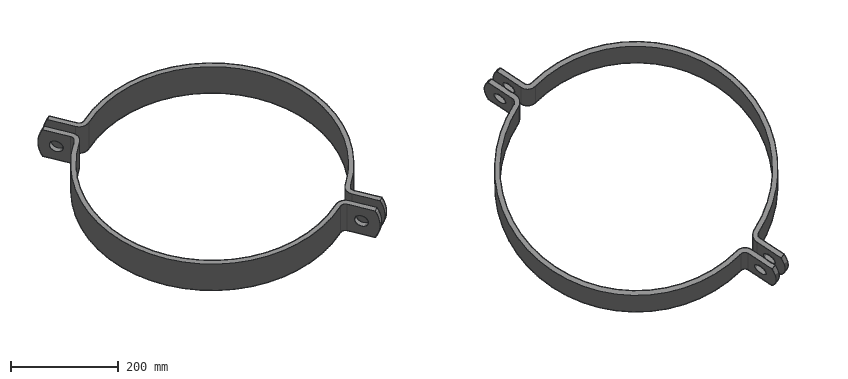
import cadquery as cq
import math

overall_length = 672.0
ring_outer_diameter = 526.0
strap_width = 70.0
strap_thickness = 10.0
ear_gap = 18.0
bend_inner_radius = 10.0
ear_tip_radius = 70.0
bolt_hole_diameter = 27.0
bolt_hole_spacing = 599.5

ear_tip_x = overall_length / 2
ring_outer_radius = ring_outer_diameter / 2
ring_inner_radius = ring_outer_radius - strap_thickness
ear_inner_y = ear_gap / 2
ear_outer_y = ear_inner_y + strap_thickness
bend_outer_radius = bend_inner_radius + strap_thickness

bend_center_y = ear_outer_y + bend_inner_radius
bend_center_distance = ring_outer_radius + bend_inner_radius
bend_center_x = math.sqrt(bend_center_distance**2 - bend_center_y**2)
ring_end_angle = math.atan2(bend_center_y, bend_center_x)
bend_middle_angle = (ring_end_angle - math.pi / 2) / 2


def ring_point(radius, side):
    """Point where the ring meets the bend; side is +1 or -1 along X."""
    return (side * radius * math.cos(ring_end_angle), radius * math.sin(ring_end_angle))


def bend_middle(radius, side):
    """Point halfway around a bend; side is +1 or -1 along X."""
    return (
        side * (bend_center_x - radius * math.cos(bend_middle_angle)),
        bend_center_y + radius * math.sin(bend_middle_angle),
    )


def make_strap():
    """Half ring on the +Y side with a bent ear at each end."""
    return (
        cq.Workplane("XY")
        .workplane(offset=-strap_width / 2)
        .moveTo(-ear_tip_x, ear_outer_y)
        .lineTo(-bend_center_x, ear_outer_y)
        .threePointArc(bend_middle(bend_inner_radius, -1), ring_point(ring_outer_radius, -1))
        .threePointArc((0, ring_outer_radius), ring_point(ring_outer_radius, 1))
        .threePointArc(bend_middle(bend_inner_radius, 1), (bend_center_x, ear_outer_y))
        .lineTo(ear_tip_x, ear_outer_y)
        .lineTo(ear_tip_x, ear_inner_y)
        .lineTo(bend_center_x, ear_inner_y)
        .threePointArc(bend_middle(bend_outer_radius, 1), ring_point(ring_inner_radius, 1))
        .threePointArc((0, ring_inner_radius), ring_point(ring_inner_radius, -1))
        .threePointArc(bend_middle(bend_outer_radius, -1), (-bend_center_x, ear_inner_y))
        .lineTo(-ear_tip_x, ear_inner_y)
        .close()
        .extrude(strap_width)
    )


def make_rounded_envelope():
    """Block along Y whose rounded ends trim the ear tips."""
    half_width = strap_width / 2
    tip_depth = ear_tip_radius - math.sqrt(ear_tip_radius**2 - half_width**2)
    corner_x = ear_tip_x - tip_depth
    return (
        cq.Workplane("XZ")
        .moveTo(-corner_x, -half_width)
        .lineTo(corner_x, -half_width)
        .threePointArc((ear_tip_x, 0), (corner_x, half_width))
        .lineTo(-corner_x, half_width)
        .threePointArc((-ear_tip_x, 0), (-corner_x, -half_width))
        .close()
        .extrude(-ring_outer_diameter)
    )


def make_bolt_holes():
    """Cutters for the bolt hole in each ear."""
    return (
        cq.Workplane("XZ")
        .pushPoints([(-bolt_hole_spacing / 2, 0), (bolt_hole_spacing / 2, 0)])
        .circle(bolt_hole_diameter / 2)
        .extrude(-ring_outer_radius)
    )


def make_clamp_half(turn):
    """One clamp half, turned about Z by the given angle in degrees."""
    half = make_strap().intersect(make_rounded_envelope()).cut(make_bolt_holes())
    return half.rotate((0, 0, 0), (0, 0, 1), turn)


clamp_halves = [make_clamp_half(turn).solids().val() for turn in (0, 180)]

result = cq.Compound.makeCompound(clamp_halves)